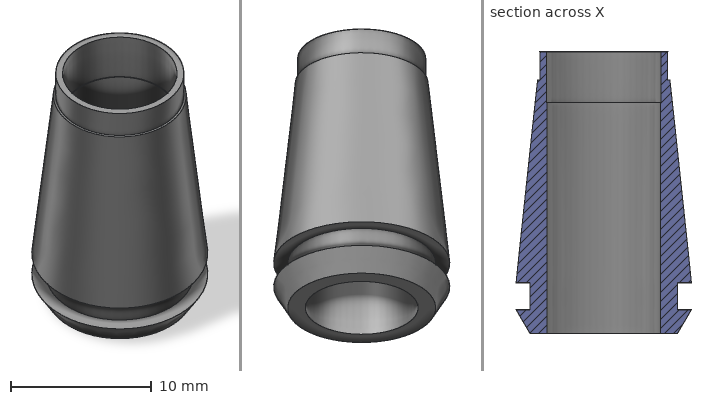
import cadquery as cq

total_height = 20.0
flange_top = 1.7
cone_bottom = 3.6
cone_top = 18.0

rim_diameter = 12.5
groove_diameter = 10.5
cone_top_diameter = 9.45
collar_diameter = 9.1

bore_diameter = 8.0
mouth_diameter = 8.12
mouth_depth = 3.6


def cylinder(diameter, bottom, top):
    """Vertical cylinder between two heights."""
    return cq.Workplane("XY").workplane(offset=bottom).circle(diameter / 2).extrude(top - bottom)


profile = [
    (0, 0),
    (groove_diameter / 2, 0),
    (rim_diameter / 2, flange_top),
    (groove_diameter / 2, flange_top),
    (groove_diameter / 2, cone_bottom),
    (rim_diameter / 2, cone_bottom),
    (cone_top_diameter / 2, cone_top),
    (collar_diameter / 2, cone_top),
    (collar_diameter / 2, total_height),
    (0, total_height),
]
body = cq.Workplane("XZ").polyline(profile).close().revolve(360, (0, 0), (0, 1))

through_bore = cylinder(bore_diameter, 0, total_height)
mouth = cylinder(mouth_diameter, total_height - mouth_depth, total_height)

result = body.cut(through_bore).cut(mouth)